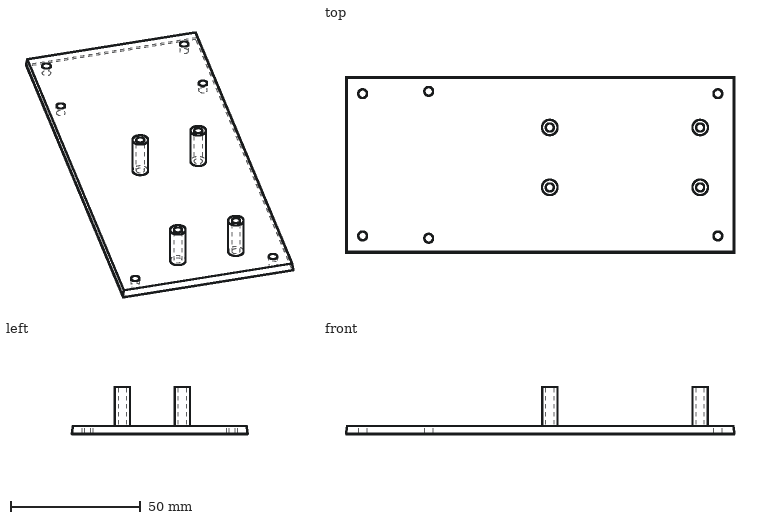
import cadquery as cq

plate_length = 149.8
plate_width = 67.9
overall_height = 18.5
post_height = 15.0
plate_thickness = overall_height - post_height
edge_inset = 0.42
widest_height = edge_inset
face_length = plate_length - 2 * edge_inset
face_width = plate_width - 2 * edge_inset

plate_hole_diameter = 3.3
corner_hole_x = 68.5
corner_hole_y = 27.4
inner_hole_x = -43.0
inner_hole_y = 28.3

post_diameter = 6.0
post_bore_diameter = 3.1
post_spacing_x = 58.0
post_spacing_y = 23.0
post_pattern_x = 32.7
post_pattern_y = 2.8


def make_plate():
    lower_bevel = (
        cq.Workplane("XY")
        .rect(face_length, face_width)
        .workplane(offset=widest_height)
        .rect(plate_length, plate_width)
        .loft(ruled=True)
    )
    sloped_body = (
        cq.Workplane("XY", origin=(0, 0, widest_height))
        .rect(plate_length, plate_width)
        .workplane(offset=plate_thickness - widest_height)
        .rect(face_length, face_width)
        .loft(ruled=True)
    )
    return lower_bevel.union(sloped_body)


def make_plate_holes():
    centres = []
    for side in (1, -1):
        centres.append((-corner_hole_x, side * corner_hole_y))
        centres.append((corner_hole_x, side * corner_hole_y))
        centres.append((inner_hole_x, side * inner_hole_y))
    return cq.Workplane("XY").pushPoints(centres).circle(plate_hole_diameter / 2).extrude(plate_thickness)


def make_posts():
    return (
        cq.Workplane("XY", origin=(post_pattern_x, post_pattern_y, plate_thickness))
        .rarray(post_spacing_x, post_spacing_y, 2, 2)
        .circle(post_diameter / 2)
        .circle(post_bore_diameter / 2)
        .extrude(post_height)
    )


result = make_plate().cut(make_plate_holes()).union(make_posts())